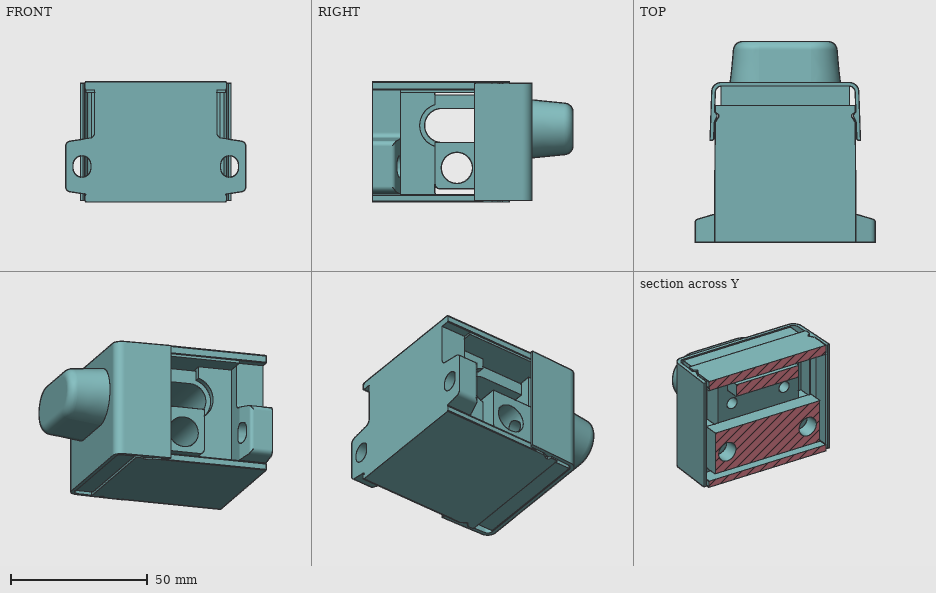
import cadquery as cq

BODY_HEIGHT = 44.0
TOTAL_DEPTH = 73.5

PLATE_HALF_WIDTH = 25.65
PLATE_DEPTH = 50.1
BASE_THICKNESS = 2.7
TOP_THICKNESS = 3.0
LIP_HALF_WIDTH = 25.6
LIP_THICKNESS = 0.95
FRONT_DEPTH = 10.3
FRONT_HALF_WIDTH = 22.35
WALL_HALF_WIDTH = 16.5
WALL_END = 22.9
CAVITY_TOP = BODY_HEIGHT - TOP_THICKNESS - LIP_THICKNESS

PLATE_CORNER = 0.45
NOTCH_X = 24.3
NOTCH_Y = 46.3
NOTCH_START = 43.9
NOTCH_END = 47.55
NOTCH_BOTTOM_LENGTH = 0.7

PAD_HALF_WIDTH = 25.95
PAD_INSET = 0.3
PAD_END = 40.4

LUG_HALF_WIDTH = 33.0
LUG_CENTER_Z = 13.0
LUG_ROOT_HALF_HEIGHT = 10.65
LUG_TIP_HALF_HEIGHT = 9.05
LUG_TIP_DEPTH = 8.2
LUG_CORNER_RADIUS = 2.0
LUG_EDGE_RADIUS = 1.5
LUG_HOLE_X = 27.0
LUG_HOLE_WIDTH = 6.5
LUG_HOLE_HEIGHT = 7.8

CORE_HALF_WIDTH = 13.7
CORE_BOTTOM = 4.8
CORE_TOP = 39.2
CORE_END = 42.7
CLAMP_HALF_WIDTH = 22.9
CLAMP_TOP = 21.8
CLAMP_EDGE_RADIUS = 1.85
CLAMP_BORE_Y = 30.95
CLAMP_BORE_Z = 12.5
CLAMP_BORE_RADIUS = 5.65
CLAMP_SCREW_X = 17.65
CLAMP_SCREW_RADIUS = 3.7
SLOT_Y = 25.35
SLOT_RADIUS = 6.2
SLOT_Z = CLAMP_TOP + SLOT_RADIUS
RING_RADIUS = 8.0
GAP_CORNER_RADIUS = 0.7

INSERT_START = 43.0
INSERT_HALF_WIDTH = 23.5
INSERT_NECK_HALF_WIDTH = 17.65
INSERT_LEDGE_Z = 20.1
INSERT_MARGIN = 1.0
INSERT_HOLE_X = 11.4
INSERT_HOLE_RADIUS = 2.2
INSERT_HOLE_DEPTH = 5.9

CLIP_BOTTOM = 0.5
CLIP_TOP = 43.5
CLIP_BACK = 58.5
CLIP_THICKNESS = 1.4
CLIP_FRONT = 37.35
CLIP_BEND_HALF_WIDTH = 26.8
CLIP_TIP_HALF_WIDTH = 27.55
CLIP_TIP_CHAMFER = 0.45
CLIP_BEND_RADIUS = 3.5
SNAP_X = 24.9
SNAP_LENGTH = 0.6
SNAP_START = 43.9
SNAP_END = 47.8

KNOB_Z = 26.75
KNOB_RADIUS = 10.65
KNOB_FLAT_HALF = 9.55
KNOB_DRAFT = 5.8
KNOB_EDGE_RADIUS = 3.4


def block(x0, x1, y0, y1, z0, z1):
    """Box given by its limits along each axis."""
    return cq.Workplane("XY").box(x1 - x0, y1 - y0, z1 - z0, centered=False).translate((x0, y0, z0))


def centered_block(half_width, y0, y1, z0, z1):
    """Box that is symmetric about X = 0."""
    return block(-half_width, half_width, y0, y1, z0, z1)


def symmetric_outline(plane, right_half):
    """Closed outline from its right half, listed from one end of the mirror line to the other."""
    left_half = [(-u, v) for u, v in reversed(right_half)]
    return cq.Workplane(plane).polyline(right_half + left_half).close()


def both_sides(shape):
    """The shape together with its mirror image about X = 0."""
    return shape.union(shape.mirror("YZ"))


def cylinder_x(radius, half_length, y, z):
    """Cylinder along X, symmetric about X = 0."""
    return cq.Workplane("YZ").center(y, z).circle(radius).extrude(half_length, both=True)


def cylinder_y(radius, x, z, y0, y1):
    """Cylinder along Y."""
    return cq.Workplane("XZ", origin=(x, y0, z)).circle(radius).extrude(y0 - y1)


def fillet_nearest(shape, radius, points):
    """Round the edges whose midpoints lie nearest to the points."""
    for point in points:
        shape = shape.edges(cq.selectors.NearestToPointSelector(point)).fillet(radius)
    return shape


def make_plate(z0, z1):
    outline = symmetric_outline("XY", [
        (PLATE_HALF_WIDTH, 0),
        (PLATE_HALF_WIDTH, NOTCH_START),
        (NOTCH_X, NOTCH_Y - NOTCH_BOTTOM_LENGTH / 2),
        (NOTCH_X, NOTCH_Y + NOTCH_BOTTOM_LENGTH / 2),
        (PLATE_HALF_WIDTH, NOTCH_END),
        (PLATE_HALF_WIDTH, PLATE_DEPTH),
    ])
    plate = outline.extrude(z1 - z0).translate((0, 0, z0))
    return plate.edges("|Z and >Y").fillet(PLATE_CORNER)


def make_pad(z0, z1):
    side = (
        cq.Workplane("XY", origin=(0, 0, z0))
        .moveTo(FRONT_HALF_WIDTH, 0)
        .lineTo(PAD_HALF_WIDTH, 0)
        .lineTo(PAD_HALF_WIDTH, FRONT_DEPTH)
        .lineTo(PLATE_HALF_WIDTH, PAD_END)
        .lineTo(FRONT_HALF_WIDTH, PAD_END)
        .close()
        .extrude(z1 - z0)
    )
    return both_sides(side)


def make_front_block():
    slope = (LUG_ROOT_HALF_HEIGHT - LUG_TIP_HALF_HEIGHT) / (LUG_HALF_WIDTH - FRONT_HALF_WIDTH)
    root_drop = LUG_ROOT_HALF_HEIGHT - slope * (PLATE_HALF_WIDTH - FRONT_HALF_WIDTH)
    lug_top = LUG_CENTER_Z + LUG_TIP_HALF_HEIGHT
    lug_bottom = LUG_CENTER_Z - LUG_TIP_HALF_HEIGHT
    lug_root = LUG_CENTER_Z + LUG_ROOT_HALF_HEIGHT
    front = symmetric_outline("XZ", [
        (PLATE_HALF_WIDTH, 0),
        (PLATE_HALF_WIDTH, LUG_CENTER_Z - root_drop),
        (LUG_HALF_WIDTH, lug_bottom),
        (LUG_HALF_WIDTH, lug_top),
        (FRONT_HALF_WIDTH, lug_root),
        (FRONT_HALF_WIDTH, BODY_HEIGHT - TOP_THICKNESS),
        (PLATE_HALF_WIDTH, BODY_HEIGHT - TOP_THICKNESS),
        (PLATE_HALF_WIDTH, BODY_HEIGHT),
    ]).extrude(-FRONT_DEPTH)
    middle = FRONT_DEPTH / 2
    rounded = [(LUG_HALF_WIDTH, lug_bottom), (LUG_HALF_WIDTH, lug_top), (FRONT_HALF_WIDTH, lug_root)]
    for x, z in rounded:
        front = fillet_nearest(front, LUG_CORNER_RADIUS, [(x, middle, z), (-x, middle, z)])

    envelope = symmetric_outline("XY", [
        (LUG_HALF_WIDTH, 0),
        (LUG_HALF_WIDTH, LUG_TIP_DEPTH),
        (PAD_HALF_WIDTH, FRONT_DEPTH),
    ]).extrude(BODY_HEIGHT)
    for side in (-1, 1):
        tip = (side * LUG_HALF_WIDTH, LUG_TIP_DEPTH, BODY_HEIGHT / 2)
        envelope = fillet_nearest(envelope, LUG_EDGE_RADIUS, [tip])
    front = front.intersect(envelope)

    hole = (
        cq.Workplane("XZ", origin=(LUG_HOLE_X, 0, LUG_CENTER_Z))
        .slot2D(LUG_HOLE_HEIGHT, LUG_HOLE_WIDTH, 90)
        .extrude(-FRONT_DEPTH)
    )
    return front.cut(both_sides(hole))


def make_housing():
    top_bottom = BODY_HEIGHT - TOP_THICKNESS
    housing = make_front_block()
    housing = housing.union(make_plate(0, BASE_THICKNESS))
    housing = housing.union(make_plate(top_bottom, BODY_HEIGHT))
    housing = housing.union(
        centered_block(LIP_HALF_WIDTH, FRONT_DEPTH, NOTCH_START, CAVITY_TOP, top_bottom)
    )
    housing = housing.union(make_pad(PAD_INSET, BASE_THICKNESS - PAD_INSET))
    housing = housing.union(make_pad(top_bottom + PAD_INSET, BODY_HEIGHT - PAD_INSET))
    wall = centered_block(WALL_HALF_WIDTH, FRONT_DEPTH, WALL_END, BASE_THICKNESS, CAVITY_TOP)
    wall = wall.cut(cylinder_x(RING_RADIUS, WALL_HALF_WIDTH, SLOT_Y, SLOT_Z))
    foot = centered_block(
        WALL_HALF_WIDTH, WALL_END, WALL_END + GAP_CORNER_RADIUS,
        BASE_THICKNESS, BASE_THICKNESS + GAP_CORNER_RADIUS,
    ).cut(cylinder_x(
        GAP_CORNER_RADIUS, WALL_HALF_WIDTH,
        WALL_END + GAP_CORNER_RADIUS, BASE_THICKNESS + GAP_CORNER_RADIUS,
    ))
    return housing.union(wall).union(foot)


def make_terminal():
    clamps = centered_block(CLAMP_HALF_WIDTH, WALL_END, CORE_END, CORE_BOTTOM, CLAMP_TOP)
    clamps = clamps.edges("|X and <Y and <Z").fillet(CLAMP_EDGE_RADIUS)
    clamps = clamps.cut(cylinder_x(CLAMP_BORE_RADIUS, CLAMP_HALF_WIDTH, CLAMP_BORE_Y, CLAMP_BORE_Z))
    screw_hole = cylinder_y(CLAMP_SCREW_RADIUS, CLAMP_SCREW_X, CLAMP_BORE_Z, CLAMP_BORE_Y, CORE_END)
    clamps = clamps.cut(both_sides(screw_hole))

    ring = cylinder_x(RING_RADIUS, CORE_HALF_WIDTH, SLOT_Y, SLOT_Z)
    rail = centered_block(CORE_HALF_WIDTH, WALL_END, CORE_END, CLAMP_TOP, CORE_TOP)
    slot = cylinder_x(SLOT_RADIUS, CORE_HALF_WIDTH, SLOT_Y, SLOT_Z).union(
        centered_block(CORE_HALF_WIDTH, SLOT_Y, CORE_END, CLAMP_TOP, SLOT_Z + SLOT_RADIUS)
    )
    ring_front = ring.cut(centered_block(CORE_HALF_WIDTH, WALL_END, CORE_END, 0, BODY_HEIGHT))
    return clamps.union(rail.union(ring_front).cut(slot))


def make_insert():
    back = CLIP_BACK - CLIP_THICKNESS
    neck = centered_block(INSERT_NECK_HALF_WIDTH, INSERT_START, PLATE_DEPTH, BASE_THICKNESS, CAVITY_TOP)
    top_joint = centered_block(
        INSERT_NECK_HALF_WIDTH, INSERT_START, PLATE_DEPTH, CAVITY_TOP, BODY_HEIGHT - TOP_THICKNESS
    )
    ledge = centered_block(INSERT_HALF_WIDTH, INSERT_START, PLATE_DEPTH, BASE_THICKNESS, INSERT_LEDGE_Z)
    cap = centered_block(
        INSERT_HALF_WIDTH, PLATE_DEPTH, back, INSERT_MARGIN, BODY_HEIGHT - INSERT_MARGIN
    )
    hole = cylinder_y(
        INSERT_HOLE_RADIUS, INSERT_HOLE_X, SLOT_Z, INSERT_START, INSERT_START + INSERT_HOLE_DEPTH
    )
    return neck.union(top_joint).union(ledge).union(cap).cut(both_sides(hole))


def make_clip():
    inner_back = CLIP_BACK - CLIP_THICKNESS
    inner_bend = CLIP_BEND_HALF_WIDTH - CLIP_THICKNESS
    lean = (CLIP_TIP_HALF_WIDTH - CLIP_BEND_HALF_WIDTH) / (CLIP_BACK - CLIP_FRONT)

    def inner_x(y):
        return inner_bend + lean * (CLIP_BACK - y)

    chamfer_y = CLIP_FRONT + CLIP_TIP_CHAMFER
    outline = symmetric_outline("XY", [
        (CLIP_BEND_HALF_WIDTH, CLIP_BACK),
        (CLIP_TIP_HALF_WIDTH, CLIP_FRONT),
        (inner_x(CLIP_FRONT) + CLIP_TIP_CHAMFER, CLIP_FRONT),
        (inner_x(chamfer_y), chamfer_y),
        (inner_x(SNAP_START), SNAP_START),
        (SNAP_X, NOTCH_Y - SNAP_LENGTH / 2),
        (SNAP_X, NOTCH_Y + SNAP_LENGTH / 2),
        (inner_x(SNAP_END), SNAP_END),
        (inner_bend, inner_back),
    ])
    clip = outline.extrude(CLIP_TOP - CLIP_BOTTOM)
    clip = clip.edges("|Z and >Y").fillet(CLIP_BEND_RADIUS)
    middle = (CLIP_TOP - CLIP_BOTTOM) / 2
    inner_corners = [(side * inner_bend, inner_back, middle) for side in (-1, 1)]
    clip = fillet_nearest(clip, CLIP_BEND_RADIUS - CLIP_THICKNESS, inner_corners)
    return clip.translate((0, 0, CLIP_BOTTOM))


def make_knob():
    knob = (
        cq.Workplane("XZ", origin=(0, CLIP_BACK, KNOB_Z))
        .slot2D(2 * (KNOB_FLAT_HALF + KNOB_RADIUS), 2 * KNOB_RADIUS)
        .extrude(CLIP_BACK - TOTAL_DEPTH, taper=KNOB_DRAFT)
    )
    return knob.faces(">Y").edges().fillet(KNOB_EDGE_RADIUS)


result = make_housing()
for component in (make_terminal(), make_insert(), make_clip(), make_knob()):
    result = result.union(component)